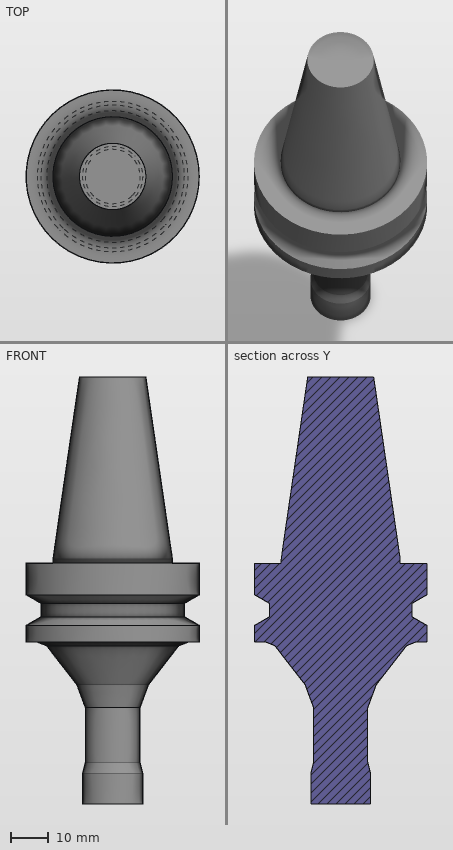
import cadquery as cq
import math


gauge_diameter = 31.75
taper_length = 48.4
taper_per_length = 7 / 24
collar_height = 1.0

flange_diameter = 46.0
flange_bottom_z = -22.0
groove_floor_diameter = 38.0
groove_centre_z = -13.5
groove_mouth_width = 8.15
groove_wall_angle = 30

skirt_top_diameter = 40.0
skirt_height = 1.0
cone_top_diameter = 35.0
cone_height = 10.3
throat_top_diameter = 19.0
throat_height = 6.1

neck_diameter = 14.5

tip_diameter = 16.0
tip_length = 8.1
flare_height = 3.0
bottom_z = -65.0


def revolve_outline(points):
    """Revolve a closed outline of (radius, z) points about the Z axis."""
    return cq.Workplane("XZ").polyline(points).close().revolve(360, (0, 0), (0, 1))


def make_shank():
    """Tapered shank, narrowing upwards, on its short cylindrical collar."""
    gauge_radius = gauge_diameter / 2
    small_end_radius = gauge_radius - taper_length * taper_per_length / 2
    return revolve_outline(
        [
            (0, -collar_height),
            (gauge_radius, -collar_height),
            (gauge_radius, 0),
            (small_end_radius, taper_length),
            (0, taper_length),
        ]
    )


def make_flange():
    """Flange disc, with a symmetric V-groove that has a flat floor."""
    rim_radius = flange_diameter / 2
    floor_radius = groove_floor_diameter / 2
    half_mouth = groove_mouth_width / 2
    wall_height = (rim_radius - floor_radius) * math.tan(math.radians(groove_wall_angle))
    half_floor = half_mouth - wall_height
    return revolve_outline(
        [
            (0, flange_bottom_z),
            (rim_radius, flange_bottom_z),
            (rim_radius, groove_centre_z - half_mouth),
            (floor_radius, groove_centre_z - half_floor),
            (floor_radius, groove_centre_z + half_floor),
            (rim_radius, groove_centre_z + half_mouth),
            (rim_radius, -collar_height),
            (0, -collar_height),
        ]
    )


def make_nose():
    """Stepped cones, straight neck and flared cylindrical tip below the flange."""
    neck_radius = neck_diameter / 2
    tip_radius = tip_diameter / 2
    cone_top_z = flange_bottom_z - skirt_height
    throat_top_z = cone_top_z - cone_height
    neck_top_z = throat_top_z - throat_height
    tip_top_z = bottom_z + tip_length
    return revolve_outline(
        [
            (0, flange_bottom_z),
            (skirt_top_diameter / 2, flange_bottom_z),
            (cone_top_diameter / 2, cone_top_z),
            (throat_top_diameter / 2, throat_top_z),
            (neck_radius, neck_top_z),
            (neck_radius, tip_top_z + flare_height),
            (tip_radius, tip_top_z),
            (tip_radius, bottom_z),
            (0, bottom_z),
        ]
    )


result = make_shank().union(make_flange()).union(make_nose())